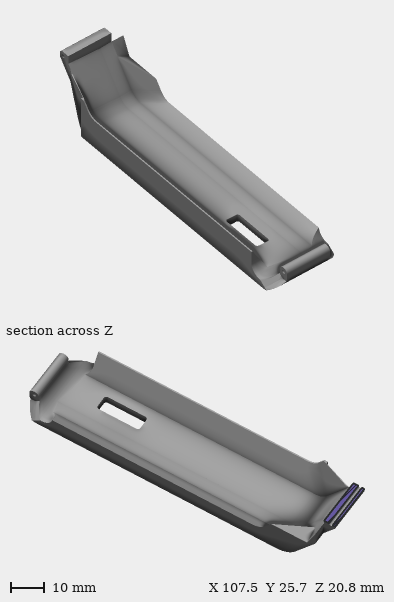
import cadquery as cq
import math

LENGTH = 107.5
WIDTH = 25.7
HEIGHT = 20.8
SHOULDER_Z = 15.2
FRONT_Y = 4.8
BACK_Y = 21.2
VALLEY_Y = 17.0
FRONT_LIP = 0.4

END_RISE = 1.34
END_ANGLE = math.atan(END_RISE)
OUTER_CORNER_X = 13.6
OUTER_RADIUS = 8.4
INNER_CORNER_X = 14.9
INNER_RADIUS = 4.9
FLOOR_Z = 3.1

ARM_WIDTH = 4.0
ARM_STEP_Z = 17.8
ARM_LOW_Z = 18.2
ARM_CHAMFER = 0.9
PIN_DIAMETER = 1.2
UPPER_PIN = (1.56, 19.1)
BACK_TRIM_X = 4.1
FRONT_TRIM_X = 4.9
FRONT_TRIM_END_X = 16.0
FRONT_TRIM_END_Y = 0.8

LEDGE_TOP_Z = 17.5
LEDGE_X = 7.0
LEDGE_INNER_Z = 13.6
LEDGE_OUTER_Z = 11.1

NOTCH_X = 100.4
NOTCH_Z = 6.3
NOTCH_RADIUS = 3.9
TIP_RADIUS = 1.7
TIP_X = LENGTH - TIP_RADIUS
HOOK_RADIUS = 5.6
HOOK_TRIM_ARM = [(102.3, 5.7), (105.3, 3.5), (112.8, 3.2)]
HOOK_TRIM_SIDE = [(99.7, 3.1), (102.9, 0.9), (110.2, -4.3)]

SLOT_X = (74.1, 89.1)
SLOT_Y = (8.1, 13.0)
SLOT_RADIUS = 0.9

VALLEY_SHIFT = (0.0, -0.6)
BACK_SHIFT = (0.0, -0.38)
FRONT_WALL_SHIFT = (5.6, 7.5)
BACK_WALL_SHIFT = (8.6, 2.7)

OVERCUT = 5.4


def section(y):
    """XZ sketch plane at the given Y; extrusion runs toward -Y."""
    return cq.Workplane("XZ", origin=(0, y, 0))


def block(x_range, y_range, z_range):
    sizes = [high - low for low, high in (x_range, y_range, z_range)]
    corner = (x_range[0], y_range[0], z_range[0])
    return cq.Workplane("XY").box(*sizes, centered=False).translate(corner)


def slope_fillet(corner_x, floor_z, radius):
    """Start, middle and end of the arc joining the end slope to a level line."""
    tangent = radius * math.tan(END_ANGLE / 2)
    end_x = corner_x + tangent
    points = []
    for angle in (END_ANGLE, END_ANGLE / 2, 0):
        x = end_x - radius * math.sin(angle)
        z = floor_z + radius * (1 - math.cos(angle))
        points.append((x, z))
    return points


def outer_body():
    start, middle, end = slope_fillet(OUTER_CORNER_X, 0, OUTER_RADIUS)
    diagonal = math.sqrt(0.5)
    hook_x = LENGTH - HOOK_RADIUS
    inner_top_x = INNER_CORNER_X - (SHOULDER_Z - FLOOR_Z) / END_RISE
    return (
        section(WIDTH)
        .moveTo(0, ARM_LOW_Z)
        .lineTo(*start)
        .threePointArc(middle, end)
        .lineTo(hook_x, 0)
        .threePointArc(
            (hook_x + HOOK_RADIUS * diagonal, HOOK_RADIUS * (1 - diagonal)),
            (LENGTH, HOOK_RADIUS),
        )
        .lineTo(LENGTH, NOTCH_Z)
        .threePointArc((TIP_X, NOTCH_Z + TIP_RADIUS), (TIP_X - TIP_RADIUS, NOTCH_Z))
        .lineTo(NOTCH_X + NOTCH_RADIUS, NOTCH_Z)
        .threePointArc((NOTCH_X, NOTCH_Z - NOTCH_RADIUS), (NOTCH_X - NOTCH_RADIUS, NOTCH_Z))
        .lineTo(NOTCH_X - NOTCH_RADIUS, SHOULDER_Z)
        .lineTo(inner_top_x, SHOULDER_Z)
        .lineTo(ARM_WIDTH, ARM_STEP_Z)
        .lineTo(ARM_WIDTH, HEIGHT)
        .lineTo(ARM_CHAMFER, HEIGHT)
        .lineTo(0, HEIGHT - ARM_CHAMFER)
        .close()
        .extrude(WIDTH)
    )


def floor_wire(y, shift):
    """Closed outline of the space above the floor, displaced in X and Z."""
    start, middle, end = slope_fillet(INNER_CORNER_X, FLOOR_Z, INNER_RADIUS)
    top_x = INNER_CORNER_X - (HEIGHT - FLOOR_Z) / END_RISE
    outline = (
        section(y)
        .moveTo(top_x, HEIGHT)
        .lineTo(*start)
        .threePointArc(middle, end)
        .lineTo(LENGTH, FLOOR_Z)
        .lineTo(LENGTH, HEIGHT)
        .close()
    )
    return outline.val().translate(cq.Vector(shift[0], 0, shift[1]))


def ruled_solid(first_wire, last_wire):
    return cq.Workplane(obj=cq.Solid.makeLoft([first_wire, last_wire], True))


def cavity():
    stations = [
        (-OVERCUT, FRONT_WALL_SHIFT),
        (FRONT_LIP, FRONT_WALL_SHIFT),
        (FRONT_Y, (0, 0)),
        (VALLEY_Y, VALLEY_SHIFT),
        (BACK_Y, BACK_SHIFT),
        (WIDTH, BACK_WALL_SHIFT),
    ]
    space = None
    for near, far in zip(stations, stations[1:]):
        piece = ruled_solid(floor_wire(*near), floor_wire(*far))
        space = piece if space is None else space.union(piece)
    limits = block((ARM_WIDTH, NOTCH_X), (-OVERCUT, WIDTH + OVERCUT), (0, HEIGHT))
    return space.intersect(limits)


def ledge_wire(y, ledge_z):
    """Space above the +Y ledge: a steep start at the end, then level in X."""
    outline = [
        (BACK_TRIM_X, LEDGE_TOP_Z),
        (LEDGE_X, ledge_z),
        (NOTCH_X, ledge_z),
        (NOTCH_X, HEIGHT),
        (BACK_TRIM_X, HEIGHT),
    ]
    return section(y).polyline(outline).close().val()


def back_ledge():
    return ruled_solid(ledge_wire(BACK_Y, LEDGE_INNER_Z), ledge_wire(WIDTH, LEDGE_OUTER_Z))


def sloped_end_trims():
    back = block((-OVERCUT, BACK_TRIM_X), (BACK_Y, WIDTH + OVERCUT), (0, HEIGHT + OVERCUT))
    front = (
        cq.Workplane("XY")
        .polyline([
            (-OVERCUT, FRONT_Y),
            (FRONT_TRIM_X, FRONT_Y),
            (FRONT_TRIM_END_X, FRONT_TRIM_END_Y),
            (FRONT_TRIM_END_X, -OVERCUT),
            (-OVERCUT, -OVERCUT),
        ])
        .close()
        .extrude(HEIGHT + OVERCUT)
    )
    return back.union(front)


def hook_trim(arm_y, side_y):
    """Removes the hook beside the hinge arm, leaving an oblique face."""
    wires = []
    for y, lower_edge in ((arm_y, HOOK_TRIM_ARM), (side_y, HOOK_TRIM_SIDE)):
        upper_edge = [(lower_edge[-1][0], HEIGHT), (lower_edge[0][0], HEIGHT)]
        wires.append(section(y).polyline(lower_edge + upper_edge).close().val())
    return ruled_solid(*wires)


def pin_hole(x, z):
    return section(WIDTH).center(x, z).circle(PIN_DIAMETER / 2).extrude(WIDTH)


def floor_slot():
    slot = block(SLOT_X, SLOT_Y, (-OVERCUT, HEIGHT))
    return slot.edges("|Z").fillet(SLOT_RADIUS)


result = (
    outer_body()
    .cut(cavity())
    .cut(back_ledge())
    .cut(sloped_end_trims())
    .cut(hook_trim(FRONT_Y, 0))
    .cut(hook_trim(BACK_Y, WIDTH))
    .cut(pin_hole(*UPPER_PIN))
    .cut(pin_hole(TIP_X, NOTCH_Z))
    .cut(floor_slot())
)